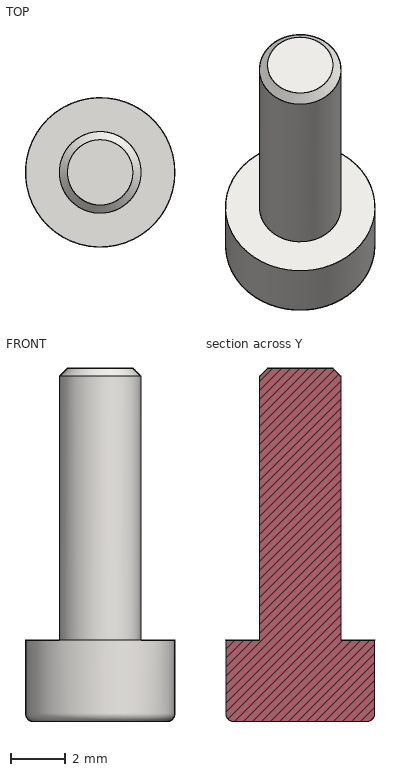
import cadquery as cq

total_length = 13.0
head_diameter = 5.5
shank_diameter = 3.0
head_height = shank_diameter
edge_size = 0.3

head = (
    cq.Workplane("XY")
    .circle(head_diameter / 2)
    .extrude(head_height)
    .faces("<Z")
    .edges()
    .fillet(edge_size)
)

shank = (
    cq.Workplane("XY")
    .workplane(offset=head_height)
    .circle(shank_diameter / 2)
    .extrude(total_length - head_height)
    .faces(">Z")
    .edges()
    .chamfer(edge_size)
)

result = head.union(shank)